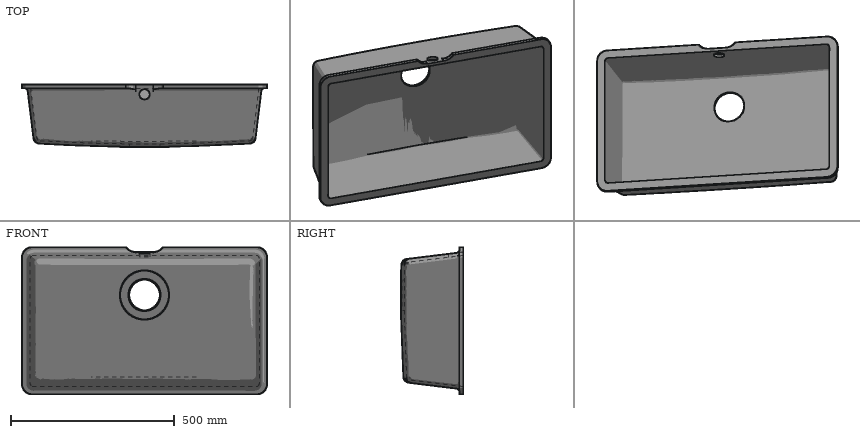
import cadquery as cq


rim_length = 749.0
rim_height = 450.0
rim_thickness = 12.0
rim_corner_radius = 32.0
rim_root_radius = 10.0
root_tolerance = 1.0
ledge_width = 15.0

depth = 192.0
wall_thickness = 10.0
wall_taper = 7.0
wall_corner_radius = 20.0
floor_edge_radius = 19.5
basin_length = rim_length - 2 * ledge_width
basin_height = rim_height - 2 * ledge_width

drain_z = 79.0
drain_pad_rise = 1.0
dome_depth = depth - drain_pad_rise
dome_radius_x = 5320.0
dome_radius_z = 4346.0
dome_half_span = 449.5
dome_sweep = 12.0
dome_overlap = 37.5

drain_pad_radius = 77.0
drain_pad_thickness = 7.5
drain_pad_chamfer = 3.0
drain_hole_radius = 46.5
drain_hole_chamfer = 3.0
drain_chamfer_angle = 45.0

overflow_radius = 16.0
overflow_depth = 31.0
notch_half_bottom = 27.0
notch_radius = 37.5
notch_depth = 22.5


def section(y):
    """XZ workplane at the given Y; positive extrusion goes toward -Y."""
    return cq.Workplane("XZ", origin=(0, y, 0))


def dome(apex_depth, shrink):
    """Solid bounded on its -Y side by a surface curved along both X and Z."""
    radius_x = dome_radius_x - shrink
    radius_z = dome_radius_z - shrink
    edge_drop = radius_x - (radius_x**2 - dome_half_span**2) ** 0.5
    edge_y = edge_drop - apex_depth
    axis_y = radius_z - apex_depth
    return (
        cq.Workplane("XY", origin=(0, 0, drain_z))
        .moveTo(-dome_half_span, dome_overlap)
        .lineTo(-dome_half_span, edge_y)
        .threePointArc((0, -apex_depth), (dome_half_span, edge_y))
        .lineTo(dome_half_span, dome_overlap)
        .close()
        .revolve(dome_sweep, (0, axis_y, 0), (1, axis_y, 0))
        .rotate((0, axis_y, drain_z), (1, axis_y, drain_z), -dome_sweep / 2)
    )


def tapered_basin(inset):
    """Solid basin form, moved inward from the outer skin by the inset."""
    return (
        section(0)
        .rect(basin_length - 2 * inset, basin_height - 2 * inset)
        .extrude(depth + dome_overlap, taper=wall_taper)
        .edges("not(#Y or |X or |Z)")
        .fillet(wall_corner_radius - inset)
        .intersect(dome(dome_depth - inset, inset))
        .faces("<Y")
        .edges()
        .fillet(floor_edge_radius - inset)
    )


def rim():
    return (
        section(0)
        .rect(rim_length, rim_height)
        .extrude(rim_thickness)
        .edges("|Y")
        .fillet(rim_corner_radius)
    )


def rim_notch():
    """Cutter that opens the rim down to the basin wall with two concave flanks."""
    top = rim_height / 2
    bottom = top - ledge_width
    arc_end_x = notch_half_bottom + (notch_radius**2 - (notch_radius - ledge_width) ** 2) ** 0.5
    return (
        section(0)
        .moveTo(-notch_half_bottom, bottom - ledge_width)
        .lineTo(notch_half_bottom, bottom - ledge_width)
        .lineTo(notch_half_bottom, bottom)
        .radiusArc((arc_end_x, top), -notch_radius)
        .lineTo(-arc_end_x, top)
        .radiusArc((-notch_half_bottom, bottom), -notch_radius)
        .close()
        .extrude(notch_depth)
    )


def drain_pad():
    return (
        section(drain_pad_thickness - depth)
        .center(0, drain_z)
        .circle(drain_pad_radius)
        .extrude(drain_pad_thickness)
        .faces("<Y")
        .chamfer(drain_pad_chamfer)
    )


def drain_hole():
    straight = section(0).center(0, drain_z).circle(drain_hole_radius).extrude(depth)
    mouth = (
        section(-depth)
        .center(0, drain_z)
        .circle(drain_hole_radius + drain_hole_chamfer)
        .extrude(-drain_hole_chamfer, taper=drain_chamfer_angle)
    )
    return straight.union(mouth)


def overflow_hole():
    return (
        cq.Workplane("XY", origin=(0, -overflow_depth, drain_z))
        .circle(overflow_radius)
        .extrude(rim_height / 2)
    )


basin = tapered_basin(0)
root_box = cq.selectors.BoxSelector(
    (-basin_length / 2, -rim_thickness - root_tolerance, -basin_height / 2),
    (basin_length / 2, -rim_thickness + root_tolerance, basin_height / 2),
    boundingbox=True,
)
body = rim().union(basin).edges(root_box).fillet(rim_root_radius)
body = body.cut(rim_notch()).union(basin).union(drain_pad())
result = body.cut(tapered_basin(wall_thickness)).cut(drain_hole()).cut(overflow_hole())